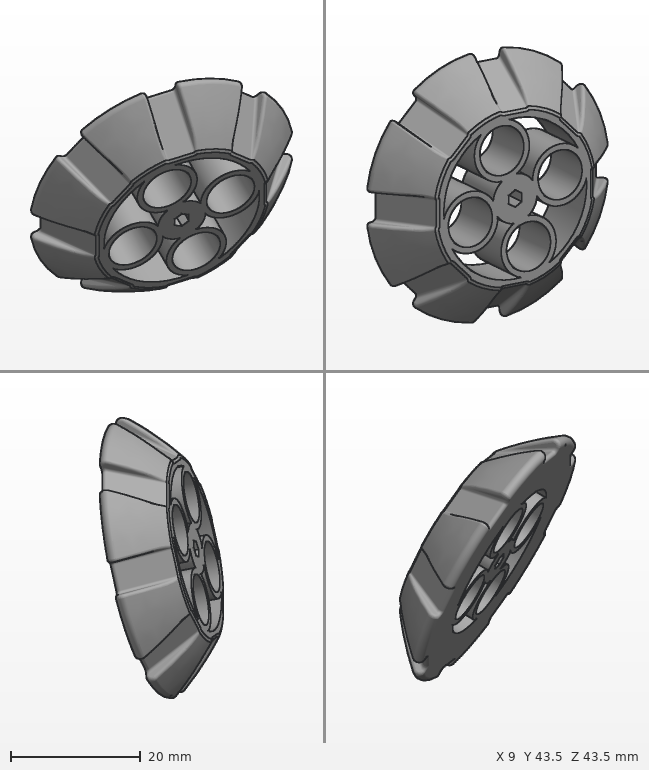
import cadquery as cq
import math

thickness = 9.0

rim_rounding = 1.0
rim_center_radius = 20.95
flank_angle = math.radians(38.8)
flank_radius = 52.15

notch_count = 8
notch_width = 5.1
notch_rounding = rim_rounding / 2
notch_floor_radius = 20.45
notch_floor_slope = math.radians(35.5)
crown_chamfer = 0.3
cutter_height = 13.05
cutter_reach = 17.4

opening_radius = 13.0
hub_radius = 4.0
hex_across_flats = 2.4
tube_count = 4
tube_radius = 5.0
bore_radius = 4.0
tube_circle_radius = 8.5
first_tube_angle = 16.6


def offset_point(point, angle, distance):
    """Point at a distance along a direction whose angle is measured from +Y towards +X."""
    return (point[0] + distance * math.sin(angle), point[1] + distance * math.cos(angle))


def make_disc():
    """Solid of revolution with a round rim running tangentially into the flank."""
    rim_center = (rim_rounding, rim_center_radius)
    rim_middle = offset_point(rim_center, (flank_angle - math.pi / 2) / 2, rim_rounding)
    rim_end = offset_point(rim_center, flank_angle, rim_rounding)

    flank_center = offset_point(rim_end, flank_angle, -flank_radius)
    crown_angle = math.asin((thickness - flank_center[0]) / flank_radius)
    flank_middle = offset_point(flank_center, (flank_angle + crown_angle) / 2, flank_radius)
    flank_end = offset_point(flank_center, crown_angle, flank_radius)

    disc = (
        cq.Workplane("XY")
        .lineTo(0, rim_center_radius)
        .threePointArc(rim_middle, rim_end)
        .threePointArc(flank_middle, flank_end)
        .lineTo(thickness, 0)
        .close()
        .revolve(360, (0, 0, 0), (1, 0, 0))
    )
    return disc.rotate((0, 0, 0), (1, 0, 0), 180 / notch_count)


def make_notch_cutter():
    """Bar along the sloping floor of the +Z notch, with its long edges rounded."""
    floor_direction = cq.Vector(math.cos(notch_floor_slope), 0, -math.sin(notch_floor_slope))
    section = cq.Plane(
        origin=(0, 0, notch_floor_radius),
        xDir=(0, 1, 0),
        normal=floor_direction,
    )
    return (
        cq.Workplane(section)
        .rect(notch_width, cutter_height)
        .extrude(cutter_reach, both=True)
        .translate(section.yDir * (cutter_height / 2))
        .edges(cq.selectors.ParallelDirSelector(floor_direction))
        .fillet(notch_rounding)
    )


def cut_notches(disc):
    cutter = make_notch_cutter()
    for index in range(notch_count):
        disc = disc.cut(cutter.rotate((0, 0, 0), (1, 0, 0), 360 * index / notch_count))
    notched = disc.faces("<X").edges("%LINE").fillet(notch_rounding)
    return notched.faces(">X").edges().chamfer(crown_chamfer)


def at_tubes(radius):
    return (
        cq.Workplane("YZ")
        .polarArray(tube_circle_radius, first_tube_angle, 360, tube_count)
        .circle(radius)
        .extrude(thickness)
    )


def make_windows():
    opening = cq.Workplane("YZ").circle(opening_radius).extrude(thickness)
    hub = cq.Workplane("YZ").circle(hub_radius).extrude(thickness)
    return opening.cut(hub).cut(at_tubes(tube_radius))


def make_hex_hole():
    across_corners = hex_across_flats / math.cos(math.pi / 6)
    hexagon = cq.Workplane("YZ").polygon(6, across_corners).extrude(thickness)
    return hexagon.rotate((0, 0, 0), (1, 0, 0), 90)


wheel = cut_notches(make_disc())
wheel = wheel.cut(make_windows())
wheel = wheel.cut(at_tubes(bore_radius))
result = wheel.cut(make_hex_hole())